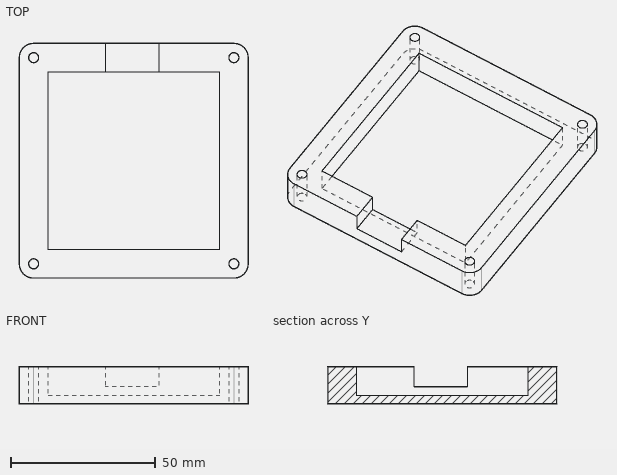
import cadquery as cq

length_x = 79.53
length_y = 81.58
height = 13.0
corner_radius = 5.0

wall = 10.0
floor_thickness = 3.0
pocket_x = length_x - 2 * wall
pocket_y = length_y - 2 * wall
pocket_depth = height - floor_thickness

notch_width = 18.5
notch_center_x = -0.5
notch_depth = 7.0

hole_diameter = 3.4
hole_spacing_x = length_x - 2 * corner_radius
hole_spacing_y = length_y - 2 * corner_radius


def make_body():
    """Rounded block standing on Z = 0, centred in X and Y."""
    block = cq.Workplane("XY").box(length_x, length_y, height, centered=(True, True, False))
    return block.edges("|Z").fillet(corner_radius)


def top_cut(size_x, size_y, depth, center_x, center_y):
    """Box that reaches down by depth from the top face."""
    return (
        cq.Workplane("XY")
        .box(size_x, size_y, depth, centered=(True, True, False))
        .translate((center_x, center_y, height - depth))
    )


def make_corner_holes():
    """Four cylinders running the full height of the body."""
    return (
        cq.Workplane("XY")
        .rect(hole_spacing_x, hole_spacing_y, forConstruction=True)
        .vertices()
        .circle(hole_diameter / 2)
        .extrude(height)
    )


pocket = top_cut(pocket_x, pocket_y, pocket_depth, 0, 0)
notch_center_y = (length_y - wall) / 2
notch = top_cut(notch_width, wall, notch_depth, notch_center_x, notch_center_y)

result = make_body().cut(pocket).cut(notch).cut(make_corner_holes())